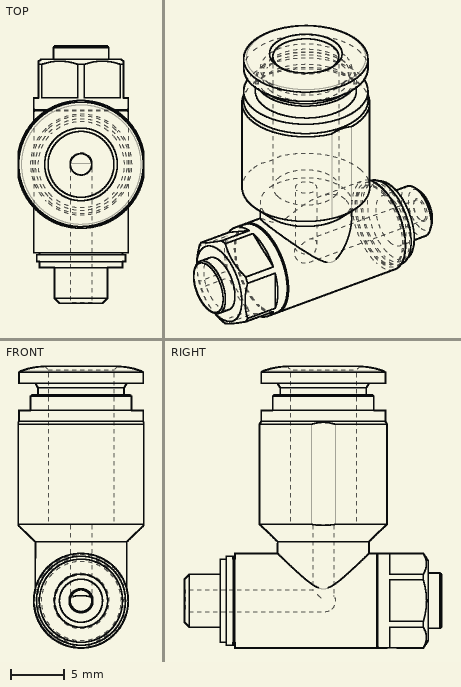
import cadquery as cq
import math


thread_tip_y = -13.05
thread_chamfer = 0.48
thread_diameter = 5.0
washer_front_y = -9.68
washer_step_y = -9.13
washer_back_y = -8.46
washer_front_diameter = 7.8
washer_back_diameter = 8.35
run_front_y = -8.3
joint_y = 5.03
joint_width = 0.1
joint_depth = 0.08
run_diameter = 8.9
hex_start_y = 6.25
hex_end_y = 9.87
hex_across_flats = 8.0
hex_chamfer_length = 0.48
hex_chamfer_depth = 0.71
stub_end_y = 11.1
stub_diameter = 5.2
stub_chamfer = 0.15

stem_diameter = 8.6
cone_bottom_z = 5.53
body_bottom_z = 7.17
body_shoulder_z = 16.55
body_diameter = 12.0
body_across_flats = 11.8
collar_bottom_z = 16.82
collar_top_z = 17.85
collar_diameter = 11.7
sleeve_top_z = 19.33
sleeve_diameter = 9.5
sleeve_chamfer = 0.15
neck_taper_z = 19.97
neck_diameter = 8.1
flange_bottom_z = 20.4
flange_diameter = 11.7
flange_edge_z = 21.42
flange_bevel_height = 0.15
flange_bevel_width = 0.25
top_z = 22.0
crown_diameter = 6.82
crown_bulge = 0.093

tube_bore_diameter = 6.2
tube_bore_chamfer = (crown_diameter - tube_bore_diameter) / 2
tube_bore_floor_z = body_bottom_z
socket_passage_diameter = 2.0
thread_passage_diameter = 2.04
passage_chamfer = 0.1
passage_end_center_y = 0.1


def make_run():
    """Thread, washer, round run, nut and stub, revolved about Y."""
    run_r = run_diameter / 2
    thread_r = thread_diameter / 2
    stub_r = stub_diameter / 2
    groove_r = run_r - joint_depth
    profile = [
        (0, thread_tip_y),
        (thread_r - thread_chamfer, thread_tip_y),
        (thread_r, thread_tip_y + thread_chamfer),
        (thread_r, washer_front_y),
        (washer_front_diameter / 2, washer_front_y),
        (washer_front_diameter / 2, washer_step_y),
        (washer_back_diameter / 2, washer_step_y),
        (washer_back_diameter / 2, washer_back_y),
        (washer_front_diameter / 2, washer_back_y),
        (washer_front_diameter / 2, run_front_y),
        (run_r, run_front_y),
        (run_r, joint_y),
        (groove_r, joint_y),
        (groove_r, joint_y + joint_width),
        (run_r, joint_y + joint_width),
        (run_r, hex_end_y - hex_chamfer_length),
        (run_r - hex_chamfer_depth, hex_end_y),
        (stub_r, hex_end_y),
        (stub_r, stub_end_y - stub_chamfer),
        (stub_r - stub_chamfer, stub_end_y),
        (0, stub_end_y),
    ]
    run = cq.Workplane("XY").polyline(profile).close().revolve(360, (0, 0, 0), (0, 1, 0))
    return run.cut(make_hex_trim())


def make_hex_trim():
    """Material outside the nut hexagon, whose corners point along +Z and -Z."""
    across_corners = hex_across_flats / math.cos(math.pi / 6)
    return (
        cq.Workplane("XZ", origin=(0, hex_start_y, 0))
        .circle(run_diameter)
        .transformed(rotate=(0, 0, 90))
        .polygon(6, across_corners)
        .extrude(hex_start_y - hex_end_y)
    )


def make_body():
    """Stem and socket body up to the collar, with a flat on each X side."""
    body_r = body_diameter / 2
    stem_r = stem_diameter / 2
    profile = [
        (0, 0),
        (stem_r, 0),
        (stem_r, cone_bottom_z),
        (body_r, body_bottom_z),
        (body_r, body_shoulder_z),
        (collar_diameter / 2, collar_bottom_z),
        (collar_diameter / 2, collar_top_z),
        (0, collar_top_z),
    ]
    body = cq.Workplane("XZ").polyline(profile).close().revolve(360, (0, 0, 0), (0, 1, 0))
    flats = cq.Workplane("XY").rect(body_across_flats, 2 * body_diameter).extrude(collar_top_z)
    return body.intersect(flats)


def make_release_button():
    """Sleeve, neck and domed flange above the collar."""
    sleeve_r = sleeve_diameter / 2
    neck_r = neck_diameter / 2
    flange_r = flange_diameter / 2
    crown_r = crown_diameter / 2
    dome_r = flange_r - flange_bevel_width
    dome_z = flange_edge_z + flange_bevel_height
    dome_middle = ((dome_r + crown_r) / 2, (dome_z + top_z) / 2 + crown_bulge)
    return (
        cq.Workplane("XZ")
        .moveTo(0, body_bottom_z)
        .lineTo(sleeve_r, body_bottom_z)
        .lineTo(sleeve_r, sleeve_top_z - sleeve_chamfer)
        .lineTo(sleeve_r - sleeve_chamfer, sleeve_top_z)
        .lineTo(neck_r, sleeve_top_z)
        .lineTo(neck_r, neck_taper_z)
        .lineTo(stem_diameter / 2, flange_bottom_z)
        .lineTo(flange_r, flange_bottom_z)
        .lineTo(flange_r, flange_edge_z)
        .lineTo(dome_r, dome_z)
        .threePointArc(dome_middle, (crown_r, top_z))
        .lineTo(0, top_z)
        .close()
        .revolve(360, (0, 0, 0), (0, 1, 0))
    )


def make_tube_bore():
    """Tube socket with a chamfered mouth, and the passage below it."""
    bore_r = tube_bore_diameter / 2
    passage_r = socket_passage_diameter / 2
    profile = [
        (0, 0),
        (passage_r, 0),
        (passage_r, tube_bore_floor_z),
        (bore_r, tube_bore_floor_z),
        (bore_r, top_z - tube_bore_chamfer),
        (bore_r + tube_bore_chamfer, top_z),
        (0, top_z),
    ]
    return cq.Workplane("XZ").polyline(profile).close().revolve(360, (0, 0, 0), (0, 1, 0))


def make_thread_bore():
    """Passage through the thread, ending in a hemisphere below the stem."""
    passage_r = thread_passage_diameter / 2
    diagonal = passage_r * math.sqrt(0.5)
    return (
        cq.Workplane("XY")
        .moveTo(0, thread_tip_y)
        .lineTo(passage_r + passage_chamfer, thread_tip_y)
        .lineTo(passage_r, thread_tip_y + passage_chamfer)
        .lineTo(passage_r, passage_end_center_y)
        .threePointArc(
            (diagonal, passage_end_center_y + diagonal),
            (0, passage_end_center_y + passage_r),
        )
        .close()
        .revolve(360, (0, 0, 0), (0, 1, 0))
    )


result = (
    make_run()
    .union(make_body())
    .union(make_release_button())
    .cut(make_tube_bore())
    .cut(make_thread_bore())
)